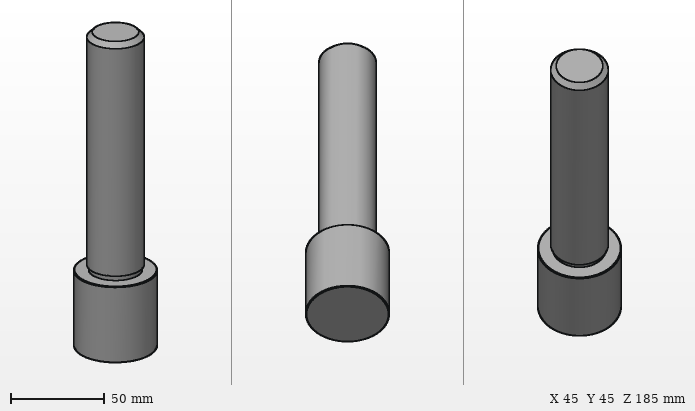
import cadquery as cq

total_length = 185.0
head_diameter = 45.0
head_height = 45.0
head_edge_chamfer = 0.5
shank_diameter = 31.0
tip_chamfer = 3.0
neck_diameter = 29.0
neck_height = 3.0

head_radius = head_diameter / 2
shank_radius = shank_diameter / 2
neck_radius = neck_diameter / 2
shank_start = head_height + neck_height


def make_head():
    """Cylindrical head with both rims lightly chamfered."""
    head = cq.Workplane("XY").circle(head_radius).extrude(head_height)
    return head.faces("<Z or >Z").edges().chamfer(head_edge_chamfer)


def make_shank():
    """Turned shank: relief neck, plain body and chamfered tip."""
    half_profile = (
        cq.Workplane("XZ")
        .moveTo(0, head_height)
        .lineTo(neck_radius, head_height)
        .lineTo(neck_radius, shank_start)
        .lineTo(shank_radius, shank_start)
        .lineTo(shank_radius, total_length - tip_chamfer)
        .lineTo(shank_radius - tip_chamfer, total_length)
        .lineTo(0, total_length)
        .close()
    )
    return half_profile.revolve(360, (0, 0, 0), (0, 1, 0))


result = make_head().union(make_shank())